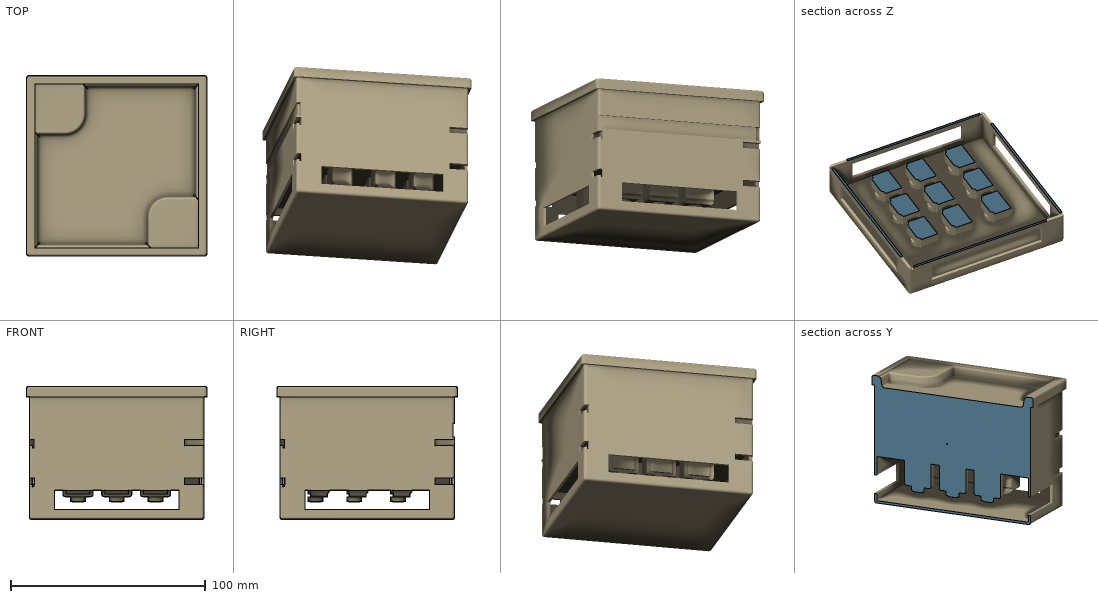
import cadquery as cq
import math

LID_SIZE = 93.0
TOTAL_HEIGHT = 68.6
LID_OVERHANG = 1.5
LID_HEIGHT = 5.5
CORNER_RADIUS = 1.5
EDGE_FILLET = 1.2
BODY_SIZE = LID_SIZE - 2 * LID_OVERHANG
BODY_HALF = BODY_SIZE / 2
LID_BOTTOM = TOTAL_HEIGHT - LID_HEIGHT

WALL = 1.5
FLOOR = 1.5
CHAMBER_TOP = 25.0

WINDOW_WIDTH = 64.0
WINDOW_BOTTOM = 5.2
WINDOW_HEIGHT = 9.8

SLOT_LENGTH = 10.0
SLOT_DEPTH = 2.5
SLOT_HEIGHT = 3.2
SLOT_LIP_DROP = 1.2
SLOT_BOTTOMS = (18.1, 38.1)

RECESS_DEPTH = 0.8
RECESS_HEIGHT = 7.0
RECESS_BOTTOM = 42.5
LATCH_DEPTH = 2.1
LATCH_TAB_SIZE = 2.5

RIM_OPENING = 84.4
RIM_STEP = 0.7
PAD_LEVEL = TOTAL_HEIGHT - RIM_STEP
DISH_SIZE = 82.6
DISH_DEPTH = 5.2
DISH_DRAFT = 10.0
DISH_FILLET = 1.2
DISH_RIM_FILLET = 1.0
PAD_EDGE = 16.6
PAD_RADIUS = 10.0

MODULE_PITCH = 20.0
MODULE_XS = (-MODULE_PITCH, 0, MODULE_PITCH)
MIDDLE_ROW_Y = -6.7
MODULE_YS = (15.9, MIDDLE_ROW_Y, MIDDLE_ROW_Y - MODULE_PITCH)
MODULE_WIDTH = 15.6
MODULE_BOTTOM = 11.7
MODULE_BACK = 6.1
MODULE_FRONT = 2.6
MODULE_FILLET = 1.45
HEEL_REACH = 1.1
NOSE_WIDTH = 12.4
NOSE_REACH = 1.2
NOSE_RADIUS = 1.5
NOSE_BOTTOM = 13.2
PEG_DIAMETER = 7.65
PEG_HEIGHT = 2.4
PIN_DIAMETER = 5.5
PIN_HEIGHT = 0.4


def box_between(low, high):
    """Axis-aligned box between two opposite corners."""
    size = [b - a for a, b in zip(low, high)]
    return cq.Workplane("XY").box(*size, centered=False).translate(low)


def square_block(size, bottom, height):
    return cq.Workplane("XY", origin=(0, 0, bottom)).rect(size, size).extrude(height)


def around_box(shape):
    """The shape repeated on all four sides."""
    return [shape.rotate((0, 0, 0), (0, 0, 1), 90 * side) for side in range(4)]


def make_shell():
    body = square_block(BODY_SIZE, 0, LID_BOTTOM)
    body = body.edges("|Z").fillet(CORNER_RADIUS).faces("<Z").edges().fillet(EDGE_FILLET)
    lid = square_block(LID_SIZE, LID_BOTTOM, LID_HEIGHT)
    lid = lid.edges("|Z").fillet(CORNER_RADIUS).faces(">Z").edges().fillet(EDGE_FILLET)
    chamber = square_block(BODY_SIZE - 2 * WALL, FLOOR, CHAMBER_TOP - FLOOR)
    return body.union(lid).cut(chamber)


def make_window():
    return box_between(
        (-WINDOW_WIDTH / 2, -BODY_HALF, WINDOW_BOTTOM),
        (WINDOW_WIDTH / 2, -BODY_HALF + WALL, WINDOW_BOTTOM + WINDOW_HEIGHT),
    )


def make_slot(bottom):
    """Slot in the -X wall that runs out at the -Y corner."""
    end = -BODY_HALF + SLOT_LENGTH
    inner = -BODY_HALF + SLOT_DEPTH
    top = bottom + SLOT_HEIGHT
    opening = box_between((-BODY_HALF, -BODY_HALF, bottom), (inner, end, top))
    lip = box_between((-BODY_HALF + WALL, -BODY_HALF, bottom - SLOT_LIP_DROP), (inner, end, top))
    return opening.union(lip)


def make_latch_tab():
    """Square-cornered tab between the recess and the upper slot."""
    return box_between(
        (-BODY_HALF, BODY_HALF - LATCH_TAB_SIZE, SLOT_BOTTOMS[-1] + SLOT_HEIGHT),
        (-BODY_HALF + LATCH_TAB_SIZE, BODY_HALF, RECESS_BOTTOM),
    )


def make_recess():
    """Shallow band across the +Y wall, deeper at the -X corner."""
    top = RECESS_BOTTOM + RECESS_HEIGHT
    band = box_between(
        (-BODY_HALF, BODY_HALF - RECESS_DEPTH, RECESS_BOTTOM),
        (BODY_HALF, BODY_HALF, top),
    )
    corner = box_between(
        (-BODY_HALF, BODY_HALF - LATCH_DEPTH, RECESS_BOTTOM),
        (-BODY_HALF + LATCH_TAB_SIZE, BODY_HALF, top),
    )
    return band.union(corner)


def make_dish():
    """Drafted dish that leaves rounded pads in two opposite corners."""
    half = DISH_SIZE / 2
    arc_start = PAD_EDGE + PAD_RADIUS
    arc_mid = arc_start - PAD_RADIUS * math.sqrt(0.5)
    outline = (
        cq.Workplane("XY", origin=(0, 0, PAD_LEVEL))
        .moveTo(-half, -half)
        .lineTo(PAD_EDGE, -half)
        .lineTo(PAD_EDGE, -arc_start)
        .threePointArc((arc_mid, -arc_mid), (arc_start, -PAD_EDGE))
        .lineTo(half, -PAD_EDGE)
        .lineTo(half, half)
        .lineTo(-PAD_EDGE, half)
        .lineTo(-PAD_EDGE, arc_start)
        .threePointArc((-arc_mid, arc_mid), (-arc_start, PAD_EDGE))
        .lineTo(-half, PAD_EDGE)
        .close()
    )
    dish = outline.extrude(-DISH_DEPTH, taper=DISH_DRAFT)
    return dish.faces("<Z").edges().fillet(DISH_FILLET)


def make_lid_recess():
    """Square step in the rim with the dish below it; the dish's upper edge is rounded."""
    bottom = PAD_LEVEL - 2 * DISH_DEPTH
    insert = square_block(RIM_OPENING, bottom, PAD_LEVEL - bottom)
    dished_insert = insert.cut(make_dish())
    dish_edges = dished_insert.faces(">Z").val().innerWires()[0].Edges()
    dished_insert = dished_insert.newObject(dish_edges).fillet(DISH_RIM_FILLET)
    return square_block(RIM_OPENING, bottom, TOTAL_HEIGHT - bottom).cut(dished_insert)


def make_module():
    """Connector with its peg on the Z axis, hanging from the chamber roof."""
    housing = box_between(
        (-MODULE_WIDTH / 2, -MODULE_FRONT, MODULE_BOTTOM),
        (MODULE_WIDTH / 2, MODULE_BACK, CHAMBER_TOP),
    )
    housing = housing.faces("<Z").edges("|Y").fillet(MODULE_FILLET)
    heel = (
        cq.Workplane("YZ", origin=(-MODULE_WIDTH / 2, 0, 0))
        .moveTo(MODULE_BACK, NOSE_BOTTOM)
        .lineTo(MODULE_BACK + HEEL_REACH, NOSE_BOTTOM + HEEL_REACH)
        .lineTo(MODULE_BACK + HEEL_REACH, CHAMBER_TOP)
        .lineTo(MODULE_BACK, CHAMBER_TOP)
        .close()
        .extrude(MODULE_WIDTH)
    )
    nose = box_between(
        (-NOSE_WIDTH / 2, -MODULE_FRONT - NOSE_REACH, NOSE_BOTTOM),
        (NOSE_WIDTH / 2, MODULE_BACK, CHAMBER_TOP),
    )
    nose = nose.edges("|Z and <Y").fillet(NOSE_RADIUS)
    underside = cq.Workplane("XY", origin=(0, 0, MODULE_BOTTOM))
    peg = underside.circle(PEG_DIAMETER / 2).extrude(-PEG_HEIGHT)
    peg = peg.faces("<Z").workplane().circle(PIN_DIAMETER / 2).extrude(PIN_HEIGHT)
    return housing.union(heel).union(nose).union(peg)


result = make_shell().union(make_latch_tab()).cut(make_recess())
for window in around_box(make_window()):
    result = result.cut(window)
for slot_bottom in SLOT_BOTTOMS:
    for slot in around_box(make_slot(slot_bottom)):
        result = result.cut(slot)
result = result.cut(make_lid_recess())
module = make_module()
for x in MODULE_XS:
    for y in MODULE_YS:
        result = result.union(module.translate((x, y, 0)))